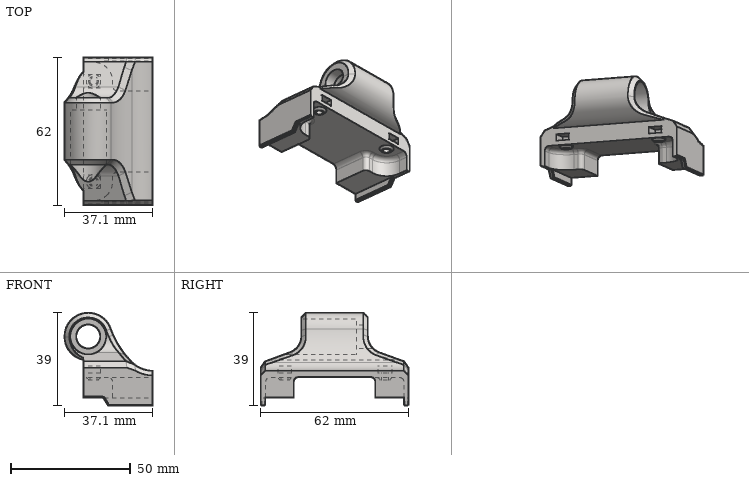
import cadquery as cq
import math

barrel_radius = 10.0
barrel_half_length = 14.0
bore_diameter = 10.0
counterbore_radius = 7.5
bore_floor = 5.0

half_width = 31.0
body_left = -2.0
body_right = 27.05
body_bottom = -29.0
edge_chamfer = 2.0

toe_radius = 12.4
toe_height = -14.3
toe_angle = math.radians(45)

flank_radius = 7.0
flank_angle = math.radians(20)

ceiling = -17.05
wall = 2.0
hollow_fillet = 2.0
pad_bottom = -25.6
pad_flat = 2.0
pad_corner_radius = 2.0
pad_cove_radius = 8.0

screw_x = 2.1
screw_y = half_width - wall - pad_cove_radius
screw_diameter = 3.0
rim_diameter = 6.0
rim_height = 1.0
rim_taper = 45

slot_width = 5.7
slot_height = 2.8
slot_bottom = -15.1
slot_depth = screw_x - body_left + slot_width / 2

step_left = 6.3
step_right = 8.3
step_angle = math.atan2(pad_bottom - body_bottom, step_right - step_left)
step_fillet = 1.0
foot_chamfer = 0.5

overcut = 3.1


def side_profile():
    """Outline in XZ: barrel, back sweep and block, extruded over the full width."""
    joint_x = body_right - toe_radius * math.sin(toe_angle)
    joint_z = toe_height + toe_radius * (1 - math.cos(toe_angle))
    normal = (math.sin(toe_angle), math.cos(toe_angle))
    along_normal = joint_x * normal[0] + joint_z * normal[1]
    sweep_radius = (joint_x**2 + joint_z**2 - barrel_radius**2) / (2 * (barrel_radius - along_normal))
    center_x = joint_x + sweep_radius * normal[0]
    center_z = joint_z + sweep_radius * normal[1]
    tangent_angle = math.atan2(center_z, center_x)
    tangent = (barrel_radius * math.cos(tangent_angle), barrel_radius * math.sin(tangent_angle))

    middle_angle = (tangent_angle + math.pi / 2 - toe_angle) / 2
    sweep_middle = (
        center_x - sweep_radius * math.cos(middle_angle),
        center_z - sweep_radius * math.sin(middle_angle),
    )
    toe_middle = (
        body_right - toe_radius * math.sin(toe_angle / 2),
        toe_height + toe_radius * (1 - math.cos(toe_angle / 2)),
    )
    barrel_foot = -math.sqrt(barrel_radius**2 - body_left**2)
    return (
        cq.Workplane("XZ")
        .moveTo(body_left, body_bottom)
        .lineTo(body_left, barrel_foot)
        .threePointArc((-barrel_radius, 0), tangent)
        .threePointArc(sweep_middle, (joint_x, joint_z))
        .threePointArc(toe_middle, (body_right, toe_height))
        .lineTo(body_right, body_bottom)
        .close()
        .extrude(half_width, both=True)
    )


def flank_points(side):
    """Fillet start, middle and end, and the outer corner, on one side of the barrel."""
    center_y = barrel_half_length + flank_radius
    sweep = math.pi / 2 - flank_angle
    fillet_middle = (
        side * (center_y - flank_radius * math.cos(sweep / 2)),
        -flank_radius * math.sin(sweep / 2),
    )
    end_y = center_y - flank_radius * math.cos(sweep)
    end_z = -flank_radius * math.sin(sweep)
    corner_z = end_z - (half_width - end_y) * math.tan(flank_angle)
    start = (side * barrel_half_length, 0)
    return start, fillet_middle, (side * end_y, end_z), (side * half_width, corner_z)


def width_profile():
    """Outline in YZ: barrel ends, flared flanks and side faces."""
    front_start, front_middle, front_end, front_corner = flank_points(-1)
    back_start, back_middle, back_end, back_corner = flank_points(1)
    return (
        cq.Workplane("YZ", origin=(-barrel_radius, 0, 0))
        .moveTo(-half_width, body_bottom)
        .lineTo(*front_corner)
        .lineTo(*front_end)
        .threePointArc(front_middle, front_start)
        .lineTo(-barrel_half_length, barrel_radius)
        .lineTo(barrel_half_length, barrel_radius)
        .lineTo(*back_start)
        .threePointArc(back_middle, back_end)
        .lineTo(*back_corner)
        .lineTo(half_width, body_bottom)
        .close()
        .extrude(barrel_radius + body_right)
    )


def outer_body():
    """Both outlines intersected, with the rim of the swept top and of the side faces chamfered."""
    body = side_profile().intersect(width_profile())
    body = body.edges(">Z").chamfer(edge_chamfer)
    return body.faces("<Y or >Y").edges("not(|Z or <Z)").chamfer(edge_chamfer)


def hollow():
    """Space under the ceiling, between the side walls and around the two pads."""
    inner = half_width - wall
    pad_face = screw_x + pad_cove_radius
    corner_y = screw_y - pad_flat
    pad_side = corner_y - pad_corner_radius
    diagonal = math.sqrt(0.5)
    cove_offset = pad_cove_radius * diagonal
    corner_offset = pad_corner_radius * diagonal
    left = body_left - overcut
    right = body_right + overcut
    corner_x = pad_face + pad_corner_radius
    plan = (
        cq.Workplane("XY", origin=(0, 0, body_bottom - overcut))
        .moveTo(left, -inner)
        .lineTo(screw_x, -inner)
        .threePointArc((screw_x + cove_offset, -screw_y - cove_offset), (pad_face, -screw_y))
        .lineTo(pad_face, -corner_y)
        .threePointArc((corner_x - corner_offset, -corner_y + corner_offset), (corner_x, -pad_side))
        .lineTo(right, -pad_side)
        .lineTo(right, pad_side)
        .lineTo(corner_x, pad_side)
        .threePointArc((corner_x - corner_offset, corner_y - corner_offset), (pad_face, corner_y))
        .lineTo(pad_face, screw_y)
        .threePointArc((screw_x + cove_offset, screw_y + cove_offset), (screw_x, inner))
        .lineTo(left, inner)
        .close()
        .extrude(ceiling - body_bottom + overcut)
    )
    rim = plan.faces(">Z").edges("not(<X or >X)")
    return rim.fillet(hollow_fillet)


def between_walls(bottom):
    """Block filling the space between the side walls, from a bottom height to the ceiling."""
    return cq.Workplane("XY", origin=(body_left, 0, bottom)).box(
        body_right - body_left, 2 * (half_width - wall), ceiling - bottom, centered=(False, True, False)
    )


def pads():
    """Pads and ceiling fillets that fill part of the space between the side walls."""
    return between_walls(pad_bottom).cut(hollow())


def foot_step():
    """Notch that shortens the side walls at the left end."""
    left = body_left - overcut
    return (
        cq.Workplane("XZ")
        .moveTo(left, body_bottom)
        .lineTo(step_right, body_bottom)
        .lineTo(step_left, pad_bottom)
        .lineTo(left, pad_bottom)
        .close()
        .extrude(half_width + overcut, both=True)
    )


def bores():
    """Through bore, with a deep counterbore from the -Y end."""
    through = cq.Workplane("XZ").circle(bore_diameter / 2).extrude(half_width, both=True)
    wide = (
        cq.Workplane("XZ", origin=(0, barrel_half_length - bore_floor, 0))
        .circle(counterbore_radius)
        .extrude(half_width + barrel_half_length)
    )
    return through.union(wide)


def screw_rim(side):
    """Conical rim around a screw hole, hanging from the ceiling."""
    return (
        cq.Workplane("XY", origin=(screw_x, side * screw_y, ceiling))
        .circle(rim_diameter / 2)
        .extrude(-rim_height, taper=rim_taper)
    )


def screw_cut(side):
    """Screw hole up into the nut slot, and the slot itself."""
    hole = (
        cq.Workplane("XY", origin=(screw_x, side * screw_y, ceiling - rim_height))
        .circle(screw_diameter / 2)
        .extrude(slot_bottom - ceiling + rim_height)
    )
    slot = cq.Workplane("XY", origin=(body_left, side * screw_y, slot_bottom)).box(
        slot_depth, slot_width, slot_height, centered=(False, True, False)
    )
    return hole.union(slot)


def side_walls_finished(body):
    """Round the notch corner, then chamfer the lower edges of both side walls."""
    step_corner = cq.selectors.BoxSelector(
        (step_left - step_fillet, -half_width - overcut, pad_bottom - step_fillet),
        (step_left + step_fillet, half_width + overcut, pad_bottom + step_fillet),
    )
    body = body.edges("|Y").edges(step_corner).fillet(step_fillet)
    low = cq.selectors.BoxSelector(
        (body_left - overcut, -half_width - overcut, body_bottom - overcut),
        (body_right + overcut, half_width + overcut, pad_bottom + overcut),
    )
    return body.edges("not(|Z or |Y)").edges(low).chamfer(foot_chamfer)


def sharp_inner_edge(side):
    """Strip that keeps the inner edge sharp where the wall foot is flush with the pad."""
    notch_top = step_left - body_left - step_fillet * math.tan(step_angle / 2)
    strip_y = side * (half_width - wall + foot_chamfer / 2)
    return cq.Workplane("XY", origin=(body_left, strip_y, pad_bottom)).box(
        notch_top, foot_chamfer, foot_chamfer, centered=(False, True, False)
    )


result = outer_body().cut(between_walls(body_bottom)).cut(foot_step())
result = side_walls_finished(result).union(pads()).cut(bores())
for side in (-1, 1):
    result = result.union(sharp_inner_edge(side)).union(screw_rim(side)).cut(screw_cut(side))